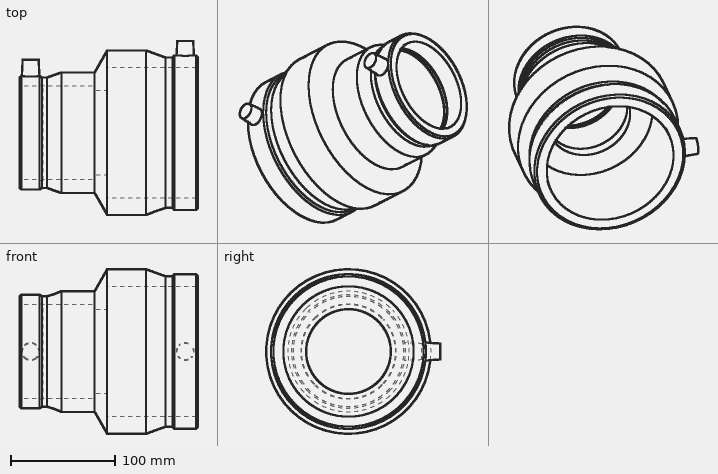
import cadquery as cq
import math


length = 171.0
small_end_diameter = 105.77
small_collar_diameter = 109.0
small_neck_diameter = 106.1
small_body_diameter = 116.0
large_body_diameter = 158.0
large_neck_diameter = 144.4
large_collar_diameter = 148.52
large_end_diameter = 144.06

small_collar_end = 21.3
small_neck_end = 26.4
small_body_start = 40.2
small_body_end = 72.0
large_body_start = 84.0
large_body_end = 121.3
large_neck_start = 140.0
large_collar_start = 146.6

bevel_length = 2.0

bore_diameter = 81.0
small_socket_diameter = 90.0
small_socket_depth = small_body_end
large_socket_diameter = 125.0
large_socket_depth = length - large_body_start

groove_start = 19.0
groove_width = 3.7
groove_depth = 0.75
groove_diameter = small_socket_diameter + 2 * groove_depth

stub_tip_diameter = 15.6
stub_taper = 3.0
small_stub_tip_y = 70.2
large_stub_tip_y = 88.0
small_stub_x = small_collar_end / 2
large_stub_x = (large_collar_start + length) / 2
stub_embed = 4.0


def make_body():
    """Revolve the solid outer profile about the X axis."""
    small_collar_radius = small_collar_diameter / 2
    large_collar_radius = large_collar_diameter / 2
    outer_profile = [
        (0, small_end_diameter / 2),
        (bevel_length, small_collar_radius),
        (small_collar_end - bevel_length, small_collar_radius),
        (small_collar_end, small_neck_diameter / 2),
        (small_neck_end, small_neck_diameter / 2),
        (small_body_start, small_body_diameter / 2),
        (small_body_end, small_body_diameter / 2),
        (large_body_start, large_body_diameter / 2),
        (large_body_end, large_body_diameter / 2),
        (large_neck_start, large_neck_diameter / 2),
        (large_collar_start, large_neck_diameter / 2),
        (large_collar_start + bevel_length, large_collar_radius),
        (length - bevel_length, large_collar_radius),
        (length, large_end_diameter / 2),
    ]
    section = cq.Workplane("XY").polyline([(0, 0)] + outer_profile + [(length, 0)]).close()
    return section.revolve(360, (0, 0, 0), (1, 0, 0))


def make_cylinder(start_x, depth, diameter):
    """Cylinder on the X axis, from start_x towards +X."""
    return cq.Workplane("YZ", origin=(start_x, 0, 0)).circle(diameter / 2).extrude(depth)


def make_stub(center_x, tip_y, collar_diameter):
    """Tapered stub pointing to +Y, with its root inside the collar wall."""
    root_y = collar_diameter / 2 - stub_embed
    height = tip_y - root_y
    root_radius = stub_tip_diameter / 2 + height * math.tan(math.radians(stub_taper))
    return cq.Workplane(
        cq.Solid.makeCone(
            root_radius,
            stub_tip_diameter / 2,
            height,
            pnt=cq.Vector(center_x, root_y, 0),
            dir=cq.Vector(0, 1, 0),
        )
    )


result = (
    make_body()
    .union(make_stub(small_stub_x, small_stub_tip_y, small_collar_diameter))
    .union(make_stub(large_stub_x, large_stub_tip_y, large_collar_diameter))
    .cut(make_cylinder(0, length, bore_diameter))
    .cut(make_cylinder(0, small_socket_depth, small_socket_diameter))
    .cut(make_cylinder(groove_start, groove_width, groove_diameter))
    .cut(make_cylinder(length - large_socket_depth, large_socket_depth, large_socket_diameter))
)